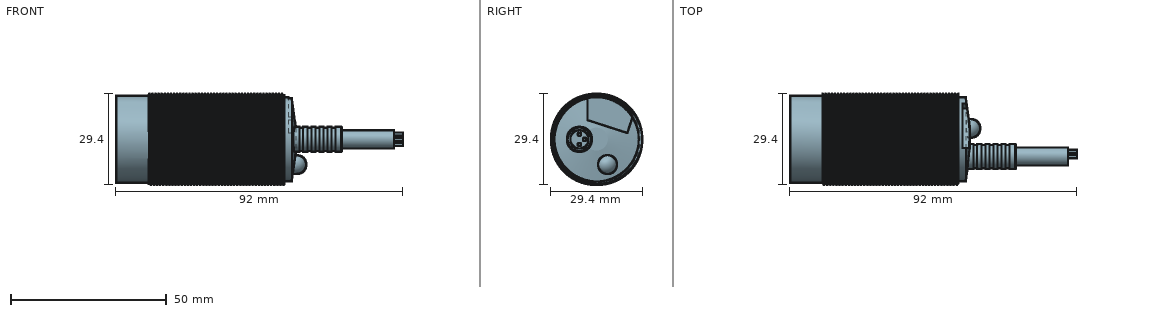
import cadquery as cq
import math

total_length = 92.0

head_radius = 14.0
head_length = 10.4
thread_end = 53.9
thread_diameter = 29.35
thread_crest_radius = thread_diameter / 2
thread_turns = 44
thread_pitch = (thread_end - head_length) / thread_turns
ridge_base_ratio = 0.96
root_overlap = 0.1

cap_radius = 13.5
cap_edge_x = 56.3
cone_top_x = 57.7
cone_top_radius = 3.7

notch_front_x = 55.3
notch_left_y = -2.85
notch_corner_y = 9.8
notch_corner_z = 2.0
notch_tilt = 18.0

lamp_y = 3.5
lamp_z = -8.1
lamp_radius = 3.0
lamp_dome_x = 58.0

cable_y = -5.5
cable_radius = 2.9
cable_end = 89.15
boot_radius = 4.05
boot_end = 72.4
boot_chamfer = 0.3
groove_count = 5
groove_start = 58.8
groove_pitch = 2.6
groove_width = 1.2
groove_radius = 3.8

wire_radius = 0.55
wire_offset = 1.7


def rod(start, end, radius, y=0.0, z=0.0):
    """Cylinder along X between two stations."""
    return cq.Workplane("YZ", origin=(start, y, z)).circle(radius).extrude(end - start)


def make_ridge(first_turn, turns):
    """Right-handed V ridge; turn 0 starts on the -Y side, half a pitch into the thread."""
    root_radius = head_radius - root_overlap
    half_base = ridge_base_ratio * thread_pitch / 2
    helix = cq.Wire.makeHelix(thread_pitch, turns * thread_pitch, root_radius)
    ridge = (
        cq.Workplane("XZ")
        .moveTo(root_radius, -half_base)
        .lineTo(thread_crest_radius, 0)
        .lineTo(root_radius, half_base)
        .close()
        .sweep(cq.Workplane(helix), isFrenet=True)
    )
    ridge = ridge.rotate((0, 0, 0), (0, 1, 0), 90).rotate((0, 0, 0), (1, 0, 0), -90)
    return ridge.translate((head_length + (first_turn + 0.5) * thread_pitch, 0, 0))


def make_barrel():
    """Core with a helical thread whose run-outs are trimmed square at both ends."""
    thread_sleeve = rod(head_length, thread_end, thread_crest_radius + 0.9)
    runout_turns = 2
    first_runout = make_ridge(-1, runout_turns).intersect(thread_sleeve, clean=False)
    last_runout = make_ridge(thread_turns - 2, runout_turns).intersect(thread_sleeve, clean=False)
    full_turns = make_ridge(1, thread_turns - 3)
    barrel = rod(0, thread_end, head_radius)
    for ridge in (first_runout, full_turns, last_runout):
        barrel = barrel.union(ridge, clean=False)
    return barrel


def make_cap():
    """Short cylinder closed by a shallow truncated cone."""
    return (
        cq.Workplane("XY")
        .moveTo(thread_end, 0)
        .lineTo(thread_end, cap_radius)
        .lineTo(cap_edge_x, cap_radius)
        .lineTo(cone_top_x, cone_top_radius)
        .lineTo(cone_top_x, 0)
        .close()
        .revolve(360, (0, 0, 0), (1, 0, 0))
    )


def make_notch():
    """Wedge with an upright wall, a tilted floor and an outer wall square to the floor."""
    slope = math.tan(math.radians(notch_tilt))
    floor_left_z = notch_corner_z + slope * (notch_corner_y - notch_left_y)
    wall_top_y = notch_corner_y + slope * (cap_radius - notch_corner_z)
    return (
        cq.Workplane("YZ", origin=(notch_front_x, 0, 0))
        .moveTo(notch_left_y, cap_radius)
        .lineTo(notch_left_y, floor_left_z)
        .lineTo(notch_corner_y, notch_corner_z)
        .lineTo(wall_top_y, cap_radius)
        .close()
        .extrude(cone_top_x - notch_front_x)
    )


def make_lamp():
    """Round stem with a hemispherical end."""
    dome = cq.Workplane("XY").sphere(lamp_radius).translate((lamp_dome_x, lamp_y, lamp_z))
    return rod(cap_edge_x, lamp_dome_x, lamp_radius, lamp_y, lamp_z).union(dome)


def make_boot():
    """Strain relief sleeve with evenly spaced ring grooves."""
    boot = rod(cap_edge_x, boot_end, boot_radius, cable_y).faces(">X").chamfer(boot_chamfer)
    for index in range(groove_count):
        start = groove_start + index * groove_pitch
        end = start + groove_width
        ring = rod(start, end, boot_radius, cable_y).cut(rod(start, end, groove_radius, cable_y))
        boot = boot.cut(ring)
    return boot


def make_cable():
    """Cable jacket with three wire ends, a quarter turn apart."""
    cable = rod(boot_end, cable_end, cable_radius, cable_y)
    for angle in (-90, 0, 90):
        y = cable_y + wire_offset * math.cos(math.radians(angle))
        z = wire_offset * math.sin(math.radians(angle))
        cable = cable.union(rod(cable_end, total_length, wire_radius, y, z))
    return cable


cap = make_cap().cut(make_notch())
rear = cap.union(make_lamp()).union(make_boot()).union(make_cable())
result = make_barrel().union(rear, clean=False)